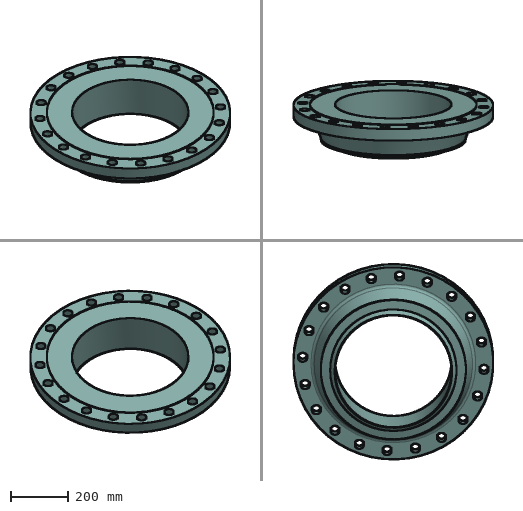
import cadquery as cq

flange_diameter = 698.5
flange_thickness = 42.0
raised_face_diameter = 583.0
raised_face_height = 2.0

bolt_count = 20
bolt_circle_diameter = 635.0
bolt_hole_diameter = 32.0

total_height = 144.5
bore_diameter = 406.5
hub_top_diameter = 559.0
hub_bottom_diameter = 507.0
taper_bottom = 25.0
hub_fillet_radius = 12.0

band_bottom = 19.0
bevel_top_diameter = 441.5
bevel_top = 14.0
bevel_bottom_diameter = 411.0

raised_face_bottom = total_height - raised_face_height
flange_bottom = raised_face_bottom - flange_thickness


def revolved_body():
    """Flange, raised face, hub and weld end turned about Z as one section."""
    section = (
        cq.Workplane("XZ")
        .moveTo(bore_diameter / 2, 0)
        .lineTo(bevel_bottom_diameter / 2, 0)
        .lineTo(bevel_top_diameter / 2, bevel_top)
        .lineTo(hub_bottom_diameter / 2, band_bottom)
        .lineTo(hub_bottom_diameter / 2, taper_bottom)
        .lineTo(hub_top_diameter / 2, flange_bottom)
        .lineTo(flange_diameter / 2, flange_bottom)
        .lineTo(flange_diameter / 2, raised_face_bottom)
        .lineTo(raised_face_diameter / 2, raised_face_bottom)
        .lineTo(raised_face_diameter / 2, total_height)
        .lineTo(bore_diameter / 2, total_height)
        .close()
    )
    return section.revolve(360, (0, 0, 0), (0, 1, 0))


def fillet_hub_root(body):
    """Round the inside corner where the hub meets the flange underside."""
    margin = 1.0
    reach = hub_top_diameter / 2 + margin
    root_edge = cq.selectors.BoxSelector(
        (-reach, -reach, flange_bottom - margin),
        (reach, reach, flange_bottom + margin),
        boundingbox=True,
    )
    return body.edges(root_edge).fillet(hub_fillet_radius)


def bolt_holes():
    """Cylinders that pass through the flange, the first one on the X axis."""
    return (
        cq.Workplane("XY")
        .workplane(offset=flange_bottom)
        .polarArray(bolt_circle_diameter / 2, 0, 360, bolt_count)
        .circle(bolt_hole_diameter / 2)
        .extrude(flange_thickness)
    )


result = fillet_hub_root(revolved_body()).cut(bolt_holes())